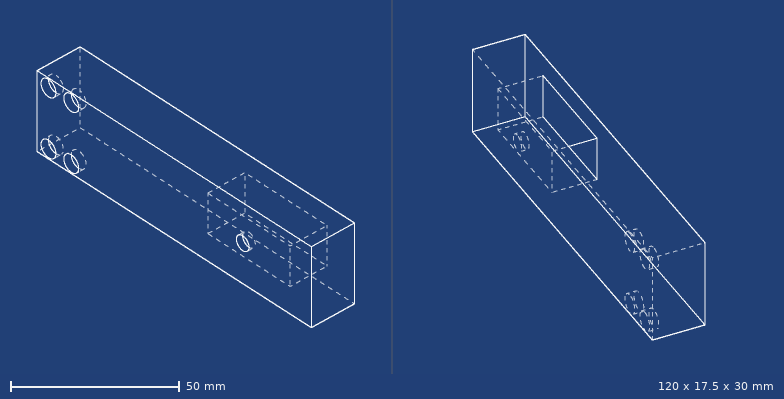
import cadquery as cq

length = 120
depth = 17.5
height = 30

blind_diameter = 6.5
blind_depth = 3.0
blind_end_distance = 5.0
blind_column_pitch = 10.0
blind_edge_distance = 3.7

through_diameter = 5.5
through_end_distance = 90

front_wall = 2.5
pocket_length = 36
pocket_height = 15.0


def bore(x, z, diameter, bore_depth):
    """Cylinder running from the front face into the block."""
    return cq.Workplane("XZ", origin=(x, 0, z)).circle(diameter / 2).extrude(-bore_depth)


def rear_pocket():
    """Box centred on the single hole, from the front wall to the open back."""
    return (
        cq.Workplane("XZ", origin=(through_end_distance, front_wall, height / 2))
        .rect(pocket_length, pocket_height)
        .extrude(front_wall - depth)
    )


result = cq.Workplane("XY").box(length, depth, height, centered=False)

for column in range(2):
    column_x = blind_end_distance + column * blind_column_pitch
    for row_z in (blind_edge_distance, height - blind_edge_distance):
        result = result.cut(bore(column_x, row_z, blind_diameter, blind_depth))

result = result.cut(rear_pocket())
result = result.cut(bore(through_end_distance, height / 2, through_diameter, front_wall))